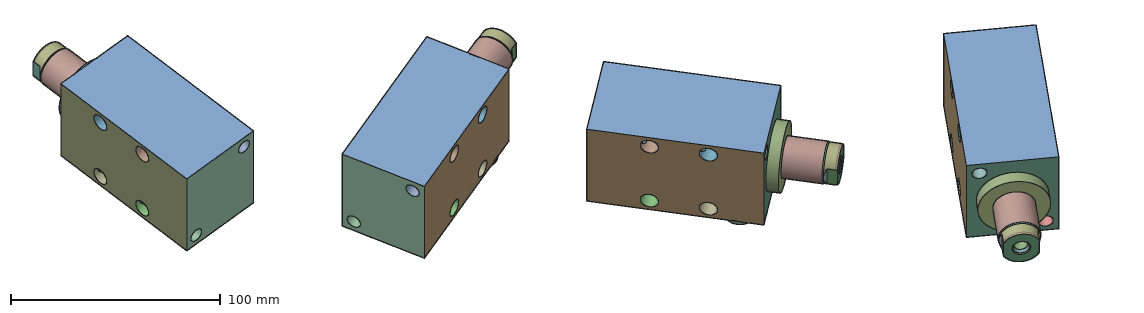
import cadquery as cq
import math

overall_length = 118.87
block_length = 85.85
block_width = 44.45
block_height = 50.8

flange_diameter = 34.925
flange_length = 6.1
rod_diameter = 20.64
rod_reach = overall_length - block_length
tip_diameter = 20.1
tip_length = 6.5
shoulder_length = 0.7
tip_edge_length = 0.9
tip_edge_radius = 1.2

flat_width = 17.2
flat_length = 5.0

rod_hole_diameter = 6.8
rod_hole_depth = 15.0
rod_hole_mouth_diameter = 9.0
rod_hole_chamfer = 0.5
lead_in_depth = 2.2

cross_hole_diameter = 8.73
cross_hole_first_x = 26.9
cross_hole_pitch_x = 28.575
cross_hole_columns = 2
hole_pitch_z = 38.1
long_hole_diameter = 7.14
long_hole_pitch_y = 31.75

boss_diameter = 15.875
boss_height = 2.29
boss_x = 13.0
boss_y = 14.1


def make_block():
    return cq.Workplane("XY").box(block_length, block_width, block_height, centered=(False, True, True))


def make_rod():
    """Flange, rod and reduced tip with a rounded end edge, revolved about the X axis."""
    tip_end = -rod_reach
    shoulder_start = tip_end + tip_length
    tip_radius = tip_diameter / 2
    tip_edge_drop = tip_edge_radius - math.sqrt(tip_edge_radius**2 - tip_edge_length**2)
    return (
        cq.Workplane("XY")
        .lineTo(0, flange_diameter / 2)
        .lineTo(-flange_length, flange_diameter / 2)
        .lineTo(-flange_length, rod_diameter / 2)
        .lineTo(shoulder_start + shoulder_length, rod_diameter / 2)
        .lineTo(shoulder_start, tip_radius)
        .lineTo(tip_end + tip_edge_length, tip_radius)
        .radiusArc((tip_end, tip_radius - tip_edge_drop), -tip_edge_radius)
        .lineTo(tip_end, 0)
        .close()
        .revolve(360, (0, 0, 0), (1, 0, 0))
    )


def make_flat_cutter(side):
    """Material removed by one wrench flat; side is +1 or -1 along Y."""
    flat_y = flat_width / 2
    outer_y = rod_diameter / 2
    flat_end = -rod_reach + flat_length
    profile = [
        (-rod_reach, side * flat_y),
        (flat_end, side * flat_y),
        (flat_end + outer_y - flat_y, side * outer_y),
        (-rod_reach, side * outer_y),
    ]
    return cq.Workplane("XY").polyline(profile).close().extrude(rod_diameter / 2, both=True)


def make_rod_hole():
    """Flat-bottomed blind hole with its entry, revolved about the X axis."""
    hole_radius = rod_hole_diameter / 2
    mouth_radius = rod_hole_mouth_diameter / 2
    mouth = -rod_reach
    profile = [
        (mouth, 0),
        (mouth, mouth_radius),
        (mouth + rod_hole_chamfer, mouth_radius - rod_hole_chamfer),
        (mouth + lead_in_depth, hole_radius),
        (mouth + rod_hole_depth, hole_radius),
        (mouth + rod_hole_depth, 0),
    ]
    return cq.Workplane("XY").polyline(profile).close().revolve(360, (0, 0, 0), (1, 0, 0))


def make_cross_holes():
    """Four holes through the block along Y."""
    centres = [
        (cross_hole_first_x + column * cross_hole_pitch_x, side * hole_pitch_z / 2)
        for column in range(cross_hole_columns)
        for side in (-1, 1)
    ]
    return (
        cq.Workplane("XZ")
        .pushPoints(centres)
        .circle(cross_hole_diameter / 2)
        .extrude(block_width / 2, both=True)
    )


def make_long_holes():
    """Two diagonally opposite holes through the block along X."""
    centres = [(side * long_hole_pitch_y / 2, side * hole_pitch_z / 2) for side in (-1, 1)]
    return cq.Workplane("YZ").pushPoints(centres).circle(long_hole_diameter / 2).extrude(block_length)


def make_boss():
    return (
        cq.Workplane("XY", origin=(boss_x, boss_y, -block_height / 2))
        .circle(boss_diameter / 2)
        .extrude(-boss_height)
    )


result = make_block().union(make_rod()).union(make_boss())
for flat_side in (-1, 1):
    result = result.cut(make_flat_cutter(flat_side))
result = result.cut(make_rod_hole())
result = result.cut(make_cross_holes())
result = result.cut(make_long_holes())